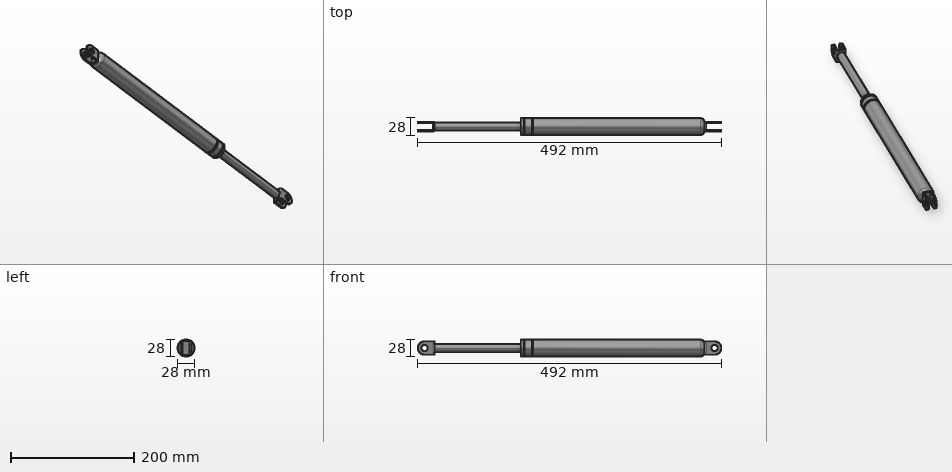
import cadquery as cq

total_length = 492.0

clevis_length = 27.5
clevis_width = 16.0
clevis_height = 22.0
sheet_thickness = 3.0
bend_radius = 3.0
eye_diameter = 10.0
tip_radius = clevis_height / 2

rod_diameter = 14.0
cylinder_diameter = 28.0
cylinder_start = 167.0
cylinder_end = total_length - clevis_length
cylinder_radius = cylinder_diameter / 2
front_fillet = 2.0
rear_fillet = 7.0

narrow_groove_position = 172.5
narrow_groove_width = 1.5
wide_groove_position = 186.0
wide_groove_width = 3.0
groove_depth = 0.5

rod_end = wide_groove_position


def bar_along_x(start, end, diameter):
    return cq.Workplane("YZ", origin=(start, 0, 0)).circle(diameter / 2).extrude(end - start)


def make_clevis():
    """Fork with its leg tips at X = 0 and the back of its base at X = clevis_length."""
    side_outline = (
        cq.Workplane("XZ")
        .moveTo(clevis_length, tip_radius)
        .lineTo(tip_radius, tip_radius)
        .threePointArc((0, 0), (tip_radius, -tip_radius))
        .lineTo(clevis_length, -tip_radius)
        .close()
        .extrude(clevis_width / 2, both=True)
    )
    bent = side_outline.edges("|Z and >X").fillet(bend_radius)
    slot_length = clevis_length - sheet_thickness
    slot = cq.Workplane("XY").box(
        slot_length,
        clevis_width - 2 * sheet_thickness,
        clevis_height,
        centered=(False, True, True),
    )
    eye = (
        cq.Workplane("XZ", origin=(tip_radius, 0, 0))
        .circle(eye_diameter / 2)
        .extrude(clevis_width, both=True)
    )
    return bent.cut(slot).cut(eye)


def make_groove(position, width):
    """Round-bottomed ring to remove from the cylinder surface, centred at the given X position."""
    return (
        cq.Workplane("XY")
        .moveTo(position - width / 2, cylinder_radius)
        .threePointArc(
            (position, cylinder_radius - groove_depth),
            (position + width / 2, cylinder_radius),
        )
        .close()
        .revolve(360, (0, 0, 0), (1, 0, 0))
    )


def make_rod():
    rod = bar_along_x(clevis_length, rod_end, rod_diameter)
    return make_clevis().union(rod)


def make_cylinder():
    tube = bar_along_x(cylinder_start, cylinder_end, cylinder_diameter)
    tube = tube.faces("<X").edges().fillet(front_fillet)
    tube = tube.faces(">X").edges().fillet(rear_fillet)
    tube = tube.cut(make_groove(narrow_groove_position, narrow_groove_width))
    tube = tube.cut(make_groove(wide_groove_position, wide_groove_width))
    tube = tube.cut(bar_along_x(cylinder_start, rod_end, rod_diameter))
    rear_clevis = make_clevis().mirror("YZ").translate((total_length, 0, 0))
    return tube.union(rear_clevis)


rod = make_rod()
cylinder = make_cylinder()
result = cq.Compound.makeCompound([rod.val(), cylinder.val()])